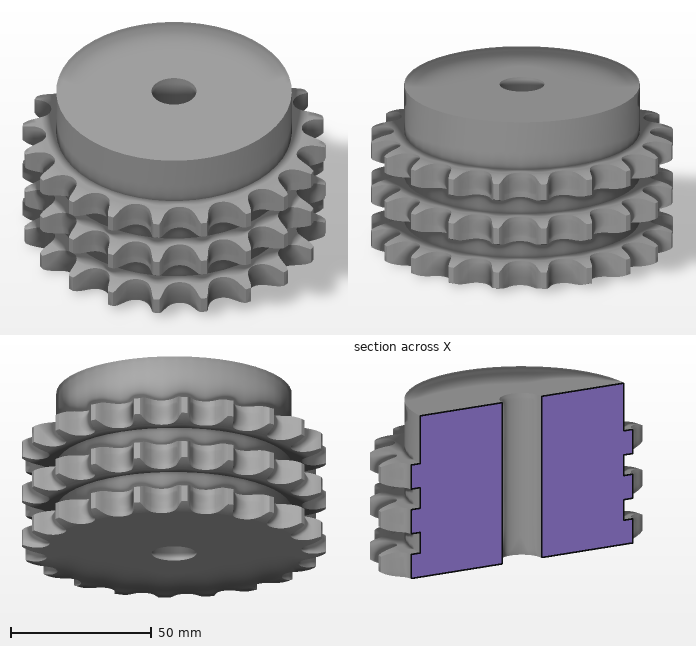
import cadquery as cq
import math


height = 60.0
hub_diameter = 84.0
bore_diameter = 16.0

disc_count = 3
disc_width = 9.1
toothed_height = 42.3
disc_spacing = (toothed_height - disc_width) / (disc_count - 1)

outer_width = 107.4
tooth_count = 20
pitch_radius = 101.5 / 2
seat_radius = 5.2
working_radius = 13.2
straight_length = 1.3
top_radius = 8.4
seat_angle = math.radians(38)
working_angle = math.radians(15.2)

relief_radius = 16.0
relief_depth = 1.6


def step(point, distance, angle):
    """Point reached by moving a distance from a point in a direction."""
    return (point[0] + distance * math.cos(angle), point[1] + distance * math.sin(angle))


def rotated(point, angle):
    """Point turned anticlockwise about the sprocket axis."""
    cosine = math.cos(angle)
    sine = math.sin(angle)
    return (point[0] * cosine - point[1] * sine, point[0] * sine + point[1] * cosine)


def right_flank_points():
    """Right-hand flank of the tooth gap centred on +Y, from the seat to the tooth tip."""
    seat_center = (0, pitch_radius)
    seat_end = step(seat_center, seat_radius, -seat_angle)

    working_center = step(seat_end, -working_radius, -seat_angle)
    working_middle = step(working_center, working_radius, working_angle / 2 - seat_angle)
    flank_normal = working_angle - seat_angle
    working_end = step(working_center, working_radius, flank_normal)
    straight_end = step(working_end, straight_length, flank_normal + math.pi / 2)

    top_center = step(straight_end, top_radius, flank_normal)
    start_angle = flank_normal + math.pi
    tip_angle = math.pi - math.asin((outer_width / 2 - top_center[1]) / top_radius)
    top_middle = step(top_center, top_radius, (start_angle + tip_angle) / 2)
    tip = step(top_center, top_radius, tip_angle)
    return [seat_end, working_middle, working_end, straight_end, top_middle, tip]


right_flank = right_flank_points()
left_flank = [(-x, y) for x, y in right_flank]
right_tip = right_flank[-1]
tip_radius = math.hypot(*right_tip)


def tooth_outline():
    """Closed outline of a disc, one gap and one tooth tip at a time, anticlockwise."""
    tooth_step = 2 * math.pi / tooth_count
    root = (0, pitch_radius - seat_radius)
    tip_middle = rotated((0, tip_radius), tooth_step / 2)
    next_tip = rotated(right_tip, tooth_step)

    outline = cq.Workplane("XY").moveTo(*right_tip)
    for index in range(tooth_count):
        turn = index * tooth_step
        right_seat, right_working, right_low, right_high, right_top, _ = [
            rotated(point, turn) for point in right_flank
        ]
        left_seat, left_working, left_low, left_high, left_top, left_tip = [
            rotated(point, turn) for point in left_flank
        ]
        outline = (
            outline.threePointArc(right_top, right_high)
            .lineTo(*right_low)
            .threePointArc(right_working, right_seat)
            .threePointArc(rotated(root, turn), left_seat)
            .threePointArc(left_working, left_low)
            .lineTo(*left_high)
            .threePointArc(left_top, left_tip)
            .threePointArc(rotated(tip_middle, turn), rotated(next_tip, turn))
        )
    return outline.close()


def disc_envelope():
    """Solid of revolution whose rounded rim relieves both faces of the teeth."""
    relief_angle = math.acos(1 - relief_depth / relief_radius)
    start_radius = tip_radius - relief_radius * math.sin(relief_angle)
    middle_radius = start_radius + relief_radius * math.sin(relief_angle / 2)
    middle_depth = relief_radius * (1 - math.cos(relief_angle / 2))
    return (
        cq.Workplane("XZ")
        .lineTo(start_radius, 0)
        .threePointArc((middle_radius, middle_depth), (tip_radius, relief_depth))
        .lineTo(tip_radius, disc_width - relief_depth)
        .threePointArc((middle_radius, disc_width - middle_depth), (start_radius, disc_width))
        .lineTo(0, disc_width)
        .close()
        .revolve(360, (0, 0, 0), (0, 1, 0))
    )


toothed_disc = tooth_outline().extrude(disc_width).intersect(disc_envelope())

result = cq.Workplane("XY").circle(hub_diameter / 2).extrude(height)
for disc_index in range(disc_count):
    result = result.union(toothed_disc.translate((0, 0, disc_index * disc_spacing)))
bore = cq.Workplane("XY").circle(bore_diameter / 2).extrude(height)
result = result.cut(bore)